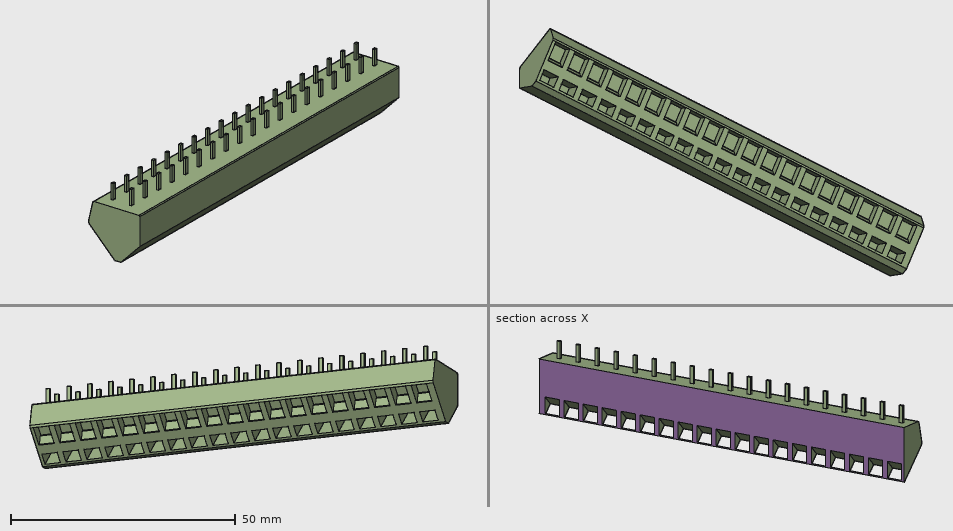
import cadquery as cq
import math

width = 14.2
length = 97.5
height = 17.0

housing_height = 13.0
tip_left = 7.3
tip_right = 9.0
right_wall_bottom = 5.4
top_left = 1.3
nose_height = 7.7
nose_bevel = 0.17
top_bevel = 0.24

row_count = 19
row_span = 91.4
row_shift = 0.44
pitch = row_span / (row_count - 1)
row_places = [row_shift - row_span / 2 + i * pitch for i in range(row_count)]

pin_left = 4.3
pin_columns = [pin_left, pin_left + pitch]
pin_width = 0.6
pin_length = 0.9

opening_length = 3.7
lower_bottom, lower_top = 0.4, 2.2
upper_bottom, upper_top = 3.9, 7.1
lower_depth = 4.9
upper_ledge_rise = 0.3
steep_wall_rise = 2.0
upper_floor_rise = 0.3


def underside_point(z):
    """Point of the left underside, which rises at 45 degrees, at height z."""
    return (tip_left - z, z)


def shifted(point, dx, dz):
    return (point[0] + dx, point[1] + dz)


def make_housing():
    """Five-sided bar with a narrow bevel under the nose and along both top edges."""
    outline = [
        (tip_left, 0),
        (tip_right, 0),
        (width, right_wall_bottom),
        (width, housing_height),
        (top_left, housing_height),
        (0, nose_height),
        underside_point(tip_left - nose_bevel),
    ]
    bar = cq.Workplane("XZ").polyline(outline).close().extrude(length / 2, both=True)
    return bar.faces(">Z").edges("|Y").chamfer(top_bevel)


def make_openings(profile):
    """Prism of an XZ profile, repeated at every contact row."""
    prism = cq.Workplane("XZ").polyline(profile).close().extrude(opening_length / 2, both=True).val()
    return cq.Compound.makeCompound([prism.translate(cq.Vector(0, y, 0)) for y in row_places])


def lower_profile():
    """Plain 45 degree bore."""
    step = lower_depth / math.sqrt(2)
    bottom = underside_point(lower_bottom)
    top = underside_point(lower_top)
    return [bottom, shifted(bottom, step, step), shifted(top, step, step), top]


def upper_profile():
    """45 degree bore whose lower side is broken by a wall parallel to the housing's left face."""
    bottom = underside_point(upper_bottom)
    top = underside_point(upper_top)
    wall_lean = top_left / (housing_height - nose_height)
    wall_foot = shifted(bottom, upper_ledge_rise, upper_ledge_rise)
    wall_head = shifted(wall_foot, steep_wall_rise * wall_lean, steep_wall_rise)
    floor_bottom = shifted(wall_head, upper_floor_rise, upper_floor_rise)
    step = (sum(floor_bottom) - sum(top)) / 2
    return [bottom, wall_foot, wall_head, floor_bottom, shifted(top, step, step), top]


def make_pins():
    return (
        cq.Workplane("XY", origin=(0, 0, housing_height))
        .pushPoints([(x, y) for x in pin_columns for y in row_places])
        .rect(pin_width, pin_length)
        .extrude(height - housing_height)
    )


housing = make_housing()
housing = housing.cut(make_openings(lower_profile()))
housing = housing.cut(make_openings(upper_profile()))
result = housing.union(make_pins()).translate((-width / 2, 0, 0))